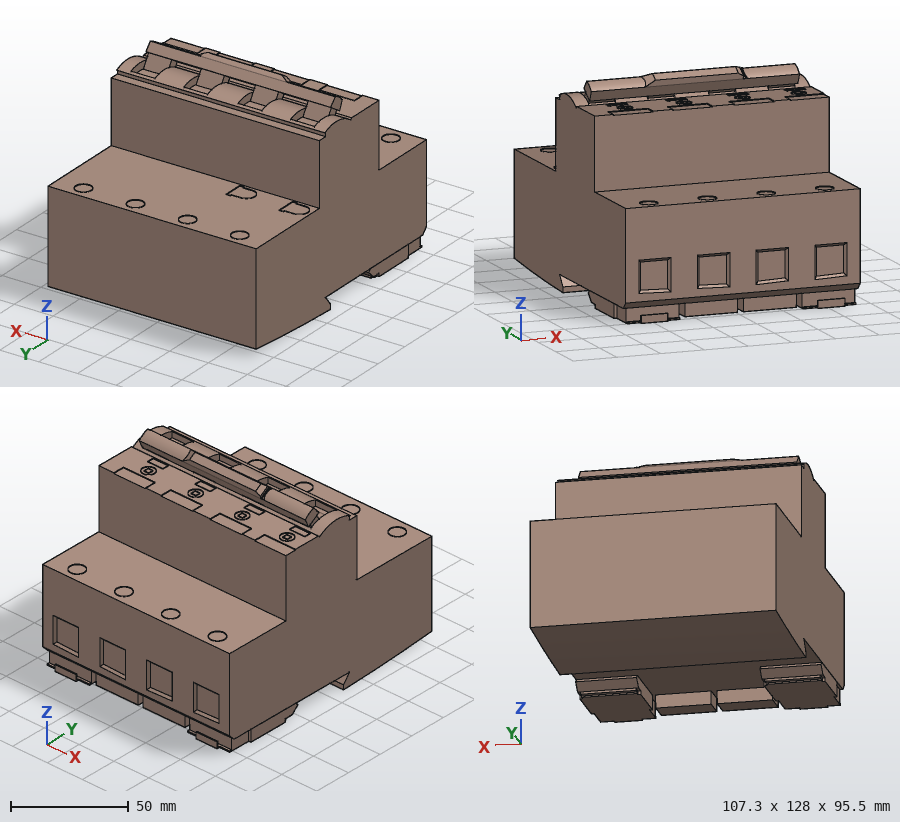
import cadquery as cq
import math

WIDTH = 107.3
LENGTH = 128.0
BASE_TOP = 51.2
DECK_TOP = 84.2
LEDGE_TOP = 83.2
RAIL_TOP = 7.2
TOTAL_HEIGHT = 95.5

MODULE = WIDTH / 4
MODULE_CENTERS = [(index - 1.5) * MODULE for index in range(4)]
FRONT = -LENGTH / 2
BACK = LENGTH / 2

DECK_FRONT = -28.4
DECK_BACK = 16.5
DOME_CENTER_Y = 4.1
DOME_CENTER_Z = 68.5
DOME_RADIUS = 18.7
DOME_FRONT = -7.0
DOME_BACK = 12.4
DOME_BACK_FOOT = 11.8
DOME_LIP_Z = 84.9

BACK_BOTTOM = 3.7
BELLY_Z = 1.4
HOOK_Y = 8.0
HOOK_ROOT_Y = 11.9
HOOK_LIP_HEIGHT = 2.5
FRONT_CHAMFER_Y = 2.8
FRONT_CHAMFER_Z = 3.0

LEVER_CENTERS = [-41.1, -14.0, 14.0, 41.1]
SLOT_WIDTH = 12.3
SLOT_BACK = 10.9
SLOT_FRONT = -5.4
SLOT_FLOOR = 82.8
DRUM_RADIUS = 15.0

HANDLE_TILT = math.radians(33)
BAR_ORIGIN_Y = -4.1
BAR_LENGTH = 95.2
BAR_BOTTOM_HALF = 4.0
BAR_TOP_HALF = 3.2
BAR_HEIGHT = 4.9
BAR_CROWN = 0.5
STEM_WIDTH = 11.9
STEM_HALF_THICKNESS = 2.4
STEM_LENGTH = 9.0
GRIP_CENTER_X = 0.5
GRIP_BOTTOM_HALF = 23.5
GRIP_TOP_HALF = 19.0
GRIP_TOP_HALF_THICKNESS = 2.0
GRIP_HEIGHT = 2.5
BAR_ORIGIN_Z = (
    TOTAL_HEIGHT
    - (BAR_HEIGHT + GRIP_HEIGHT) * math.cos(HANDLE_TILT)
    - GRIP_TOP_HALF_THICKNESS * math.sin(HANDLE_TILT)
)
GROOVE_CENTER_X = 22.5
GROOVE_WIDTH = 1.0

MARK_DEPTH = 0.4
TERMINAL_RADIUS = 4.0
TERMINAL_Y = 56.8

WINDOW_WIDTH = 14.7
WINDOW_BOTTOM = 13.8
WINDOW_TOP = 28.3
WINDOW_SAG = 0.5
WINDOW_DEPTH = 1.2
WINDOW_TAPER = 45.0

BUTTON_CENTERS = [-35.3, -8.3, 18.4, 44.2]
BUTTON_Y = -17.2
BUTTON_RADIUS = 3.3
BUTTON_SQUARE = 2.7
NOTCH_CENTERS = [-36.2, -9.1, 19.1, 45.2]
NOTCH_WIDTH = 8.7
NOTCH_FRONT = -11.9
NOTCH_BACK = -8.3
LABEL_STARTS = [-45.0, -17.9, 10.2, 35.8]
LABEL_WIDTH = 18.2
LABEL_BACK = -22.3
COVER_ENDS = [-40.5, -13.2]
COVER_Y = 22.4
COVER_RADIUS = 4.4
COVER_LENGTH = 11.3
COVER_FLANGE_LENGTH = 2.2
COVER_FLANGE_WIDTH = 10.2

BLOCK_WIDTH = 24.2
BLOCK_FRONT = -61.2
BLOCK_BACK = -50.4
BLOCK_BOTTOM = 1.3
SLIDER_WIDTH = 26.6
SLIDER_TIP_Y = -20.6
SLIDER_TIP_Z = 5.8
SLIDER_HEEL_Y = -24.3
SLIDER_HEEL_Z = 2.3
HEEL_FOOT_FRONT = -28.5
PLATE_BOTTOM = 0.6
PLATE_BACK = -26.8
PLATE_FRONT = -62.5
TAB_CENTER = 40.5
TAB_WIDTH = 12.2
TAB_TOP = 4.1
TAB_THICKNESS = 0.6


def box(x_range, y_range, z_range):
    """Box between two limits on each axis."""
    size = [high - low for low, high in (x_range, y_range, z_range)]
    corner = (x_range[0], y_range[0], z_range[0])
    return cq.Workplane("XY").box(*size, centered=False).translate(corner)


def span(center, width):
    return (center - width / 2, center + width / 2)


def along_x(width):
    """Sketch plane holding (y, z) points, placed so an extrusion of `width` is centred on X = 0."""
    return cq.Workplane("YZ", origin=(-width / 2, 0, 0))


def dome_height(y):
    return DOME_CENTER_Z + math.sqrt(DOME_RADIUS**2 - (y - DOME_CENTER_Y) ** 2)


def handle_point(across, up):
    """(y, z) of a point in the handle frame; positive `across` is towards the front."""
    y = BAR_ORIGIN_Y - across * math.cos(HANDLE_TILT) - up * math.sin(HANDLE_TILT)
    z = BAR_ORIGIN_Z - across * math.sin(HANDLE_TILT) + up * math.cos(HANDLE_TILT)
    return (y, z)


def make_housing():
    belly_y = (BACK + HOOK_Y) / 2
    return (
        along_x(WIDTH)
        .moveTo(FRONT, BASE_TOP)
        .lineTo(DECK_FRONT, BASE_TOP)
        .lineTo(DECK_FRONT, DECK_TOP)
        .lineTo(DOME_FRONT - (DECK_TOP - dome_height(DOME_FRONT)), DECK_TOP)
        .lineTo(DOME_FRONT, dome_height(DOME_FRONT))
        .threePointArc((DOME_CENTER_Y, DOME_CENTER_Z + DOME_RADIUS), (DOME_BACK, dome_height(DOME_BACK)))
        .lineTo(DOME_BACK_FOOT, DOME_LIP_Z)
        .lineTo(DOME_BACK_FOOT, LEDGE_TOP)
        .lineTo(DECK_BACK, LEDGE_TOP)
        .lineTo(DECK_BACK, BASE_TOP)
        .lineTo(BACK, BASE_TOP)
        .lineTo(BACK, BACK_BOTTOM)
        .threePointArc((belly_y, BELLY_Z), (HOOK_Y, 0))
        .lineTo(HOOK_Y, HOOK_LIP_HEIGHT)
        .lineTo(HOOK_ROOT_Y, RAIL_TOP)
        .lineTo(FRONT + FRONT_CHAMFER_Y, RAIL_TOP)
        .lineTo(FRONT, RAIL_TOP + FRONT_CHAMFER_Z)
        .close()
        .extrude(WIDTH)
    )


def cut_terminal_recesses(body):
    for x in MODULE_CENTERS:
        for y in (-TERMINAL_Y, TERMINAL_Y):
            recess = cq.Workplane("XY").circle(TERMINAL_RADIUS).extrude(MARK_DEPTH)
            body = body.cut(recess.translate((x, y, BASE_TOP - MARK_DEPTH)))
    return body


def cut_cable_windows(body):
    for x in MODULE_CENTERS:
        toward_middle = -math.copysign(WINDOW_WIDTH / 2, x)
        window = (
            cq.Workplane("XZ", origin=(x, FRONT, 0))
            .moveTo(-toward_middle, WINDOW_TOP)
            .lineTo(toward_middle, WINDOW_TOP)
            .lineTo(toward_middle, WINDOW_BOTTOM - WINDOW_SAG)
            .lineTo(-toward_middle, WINDOW_BOTTOM)
            .close()
            .extrude(-WINDOW_DEPTH, taper=WINDOW_TAPER)
        )
        body = body.cut(window)
    return body


def cut_deck_marks(body):
    mark_z = (DECK_TOP - MARK_DEPTH, DECK_TOP)
    for x in NOTCH_CENTERS:
        body = body.cut(box(span(x, NOTCH_WIDTH), (NOTCH_FRONT, NOTCH_BACK), mark_z))
    for x in LABEL_STARTS:
        body = body.cut(box((x, x + LABEL_WIDTH), (DECK_FRONT, LABEL_BACK), mark_z))
    for x in BUTTON_CENTERS:
        ring = (
            cq.Workplane("XY", origin=(x, BUTTON_Y, mark_z[0]))
            .circle(BUTTON_RADIUS)
            .rect(BUTTON_SQUARE, BUTTON_SQUARE)
            .extrude(MARK_DEPTH)
        )
        body = body.cut(ring)
    return body


def cut_cover_recesses(body):
    for end_x in COVER_ENDS:
        round_x = end_x - COVER_LENGTH + COVER_RADIUS
        plane = cq.Workplane("XY", origin=(0, COVER_Y, BASE_TOP - MARK_DEPTH))
        cover = (
            plane.moveTo(end_x, COVER_RADIUS)
            .lineTo(round_x, COVER_RADIUS)
            .threePointArc((round_x - COVER_RADIUS, 0), (round_x, -COVER_RADIUS))
            .lineTo(end_x, -COVER_RADIUS)
            .close()
            .extrude(MARK_DEPTH)
        )
        flange = (
            plane.center(end_x - COVER_FLANGE_LENGTH / 2, 0)
            .rect(COVER_FLANGE_LENGTH, COVER_FLANGE_WIDTH)
            .extrude(MARK_DEPTH)
        )
        body = body.cut(cover).cut(flange)
    return body


def cut_handle_slots(body):
    drum = along_x(WIDTH).center(DOME_CENTER_Y, DOME_CENTER_Z).circle(DRUM_RADIUS).extrude(WIDTH)
    for x in LEVER_CENTERS:
        slot = box(span(x, SLOT_WIDTH), (SLOT_FRONT, SLOT_BACK), (SLOT_FLOOR, TOTAL_HEIGHT))
        body = body.cut(slot.cut(drum))
    return body


def make_handle():
    bar = (
        along_x(BAR_LENGTH)
        .moveTo(*handle_point(-BAR_BOTTOM_HALF, 0))
        .lineTo(*handle_point(BAR_BOTTOM_HALF, 0))
        .lineTo(*handle_point(BAR_TOP_HALF, BAR_HEIGHT))
        .threePointArc(
            handle_point(0, BAR_HEIGHT + BAR_CROWN),
            handle_point(-BAR_TOP_HALF, BAR_HEIGHT),
        )
        .close()
        .extrude(BAR_LENGTH)
    )
    stem_outline = [
        handle_point(-STEM_HALF_THICKNESS, BAR_HEIGHT / 2),
        handle_point(STEM_HALF_THICKNESS, BAR_HEIGHT / 2),
        handle_point(STEM_HALF_THICKNESS, -STEM_LENGTH),
        handle_point(-STEM_HALF_THICKNESS, -STEM_LENGTH),
    ]
    stem = along_x(STEM_WIDTH).polyline(stem_outline).close().extrude(STEM_WIDTH)
    handle = bar.union(make_grip()).cut(make_grip_groove())
    for x in LEVER_CENTERS:
        handle = handle.union(stem.translate((x, 0, 0)))
    return handle


def bar_seat(x):
    """Plane across the shoulders of the bar, tilted with the handle and centred on `x`."""
    up = (0, -math.sin(HANDLE_TILT), math.cos(HANDLE_TILT))
    return cq.Workplane(cq.Plane(origin=(x, *handle_point(0, BAR_HEIGHT)), xDir=(1, 0, 0), normal=up))


def make_grip_groove():
    return bar_seat(GROOVE_CENTER_X).rect(GROOVE_WIDTH, 2 * BAR_BOTTOM_HALF).extrude(GRIP_HEIGHT)


def make_grip():
    """Raised finger grip on the middle of the bar, narrowing upwards on all four sides."""
    return (
        bar_seat(GRIP_CENTER_X)
        .rect(2 * GRIP_BOTTOM_HALF, 2 * BAR_TOP_HALF)
        .workplane(offset=GRIP_HEIGHT)
        .rect(2 * GRIP_TOP_HALF, 2 * GRIP_TOP_HALF_THICKNESS)
        .loft(ruled=True)
    )


def make_clips():
    slider = (
        along_x(SLIDER_WIDTH)
        .moveTo(BLOCK_BACK, RAIL_TOP)
        .lineTo(SLIDER_TIP_Y - (RAIL_TOP - SLIDER_TIP_Z), RAIL_TOP)
        .lineTo(SLIDER_TIP_Y, SLIDER_TIP_Z)
        .lineTo(SLIDER_HEEL_Y, SLIDER_HEEL_Z)
        .lineTo(HEEL_FOOT_FRONT, SLIDER_HEEL_Z)
        .lineTo(HEEL_FOOT_FRONT, PLATE_BOTTOM)
        .lineTo(BLOCK_BACK, PLATE_BOTTOM)
        .close()
        .extrude(SLIDER_WIDTH)
    )
    block = box(span(0, BLOCK_WIDTH), (BLOCK_FRONT, BLOCK_BACK), (BLOCK_BOTTOM, RAIL_TOP))
    plate = box(span(0, BLOCK_WIDTH), (PLATE_FRONT, PLATE_BACK), (PLATE_BOTTOM, BLOCK_BOTTOM))
    heel_foot = box(
        span(0, BLOCK_WIDTH),
        (HEEL_FOOT_FRONT, SLIDER_HEEL_Y),
        (BLOCK_BOTTOM, SLIDER_HEEL_Z),
    )
    clips = cq.Workplane("XY")
    for x in MODULE_CENTERS:
        clips = clips.add(block.translate((x, 0, 0)))
    for x in (MODULE_CENTERS[0], MODULE_CENTERS[-1]):
        tab_x = span(math.copysign(TAB_CENTER, x), TAB_WIDTH)
        tab = box(tab_x, (FRONT, PLATE_FRONT), (PLATE_BOTTOM, BLOCK_BOTTOM))
        lip = box(tab_x, (FRONT, FRONT + TAB_THICKNESS), (PLATE_BOTTOM, TAB_TOP))
        for piece in (slider, plate, heel_foot):
            clips = clips.add(piece.translate((x, 0, 0)))
        clips = clips.add(tab).add(lip)
    return clips.combine()


housing = make_housing()
housing = cut_terminal_recesses(housing)
housing = cut_cable_windows(housing)
housing = cut_deck_marks(housing)
housing = cut_cover_recesses(housing)
housing = cut_handle_slots(housing)
result = housing.union(make_handle()).union(make_clips())